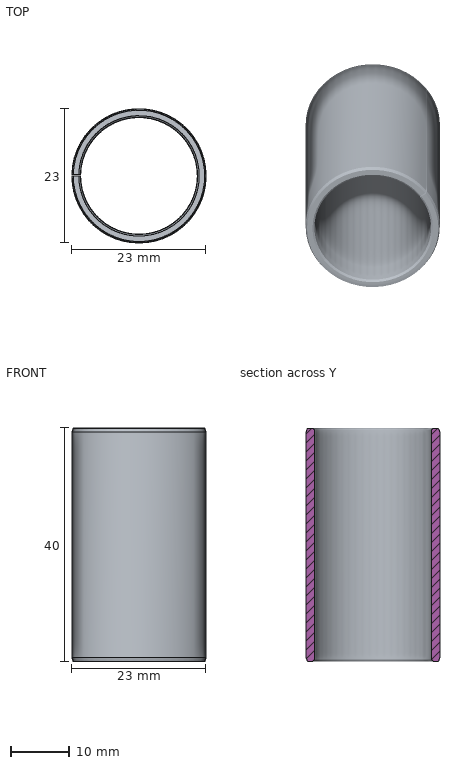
import cadquery as cq

length = 40.0
outer_diameter = 23.0
bore_diameter = 20.0
outer_chamfer_height = 0.7
outer_chamfer_depth = 0.25
bore_chamfer = 0.3
slit_width = 0.2

outer_radius = outer_diameter / 2
bore_radius = bore_diameter / 2
half_length = length / 2


def wall_profile():
    """Half section of the wall, with chamfered edges at both ends."""
    chamfer_start = half_length - outer_chamfer_height
    bore_chamfer_start = half_length - bore_chamfer
    return (
        cq.Workplane("XZ")
        .moveTo(bore_radius, -bore_chamfer_start)
        .lineTo(bore_radius + bore_chamfer, -half_length)
        .lineTo(outer_radius - outer_chamfer_depth, -half_length)
        .lineTo(outer_radius, -chamfer_start)
        .lineTo(outer_radius, chamfer_start)
        .lineTo(outer_radius - outer_chamfer_depth, half_length)
        .lineTo(bore_radius + bore_chamfer, half_length)
        .lineTo(bore_radius, bore_chamfer_start)
        .close()
    )


def slit():
    """Full-length butt joint gap through the wall on the -X side, with one face on the XZ plane."""
    return (
        cq.Workplane("XY")
        .box(outer_radius, slit_width, length, centered=(True, False, True))
        .translate((-outer_radius, 0, 0))
    )


sleeve = wall_profile().revolve(360, (0, 0, 0), (0, 1, 0))
result = sleeve.cut(slit())